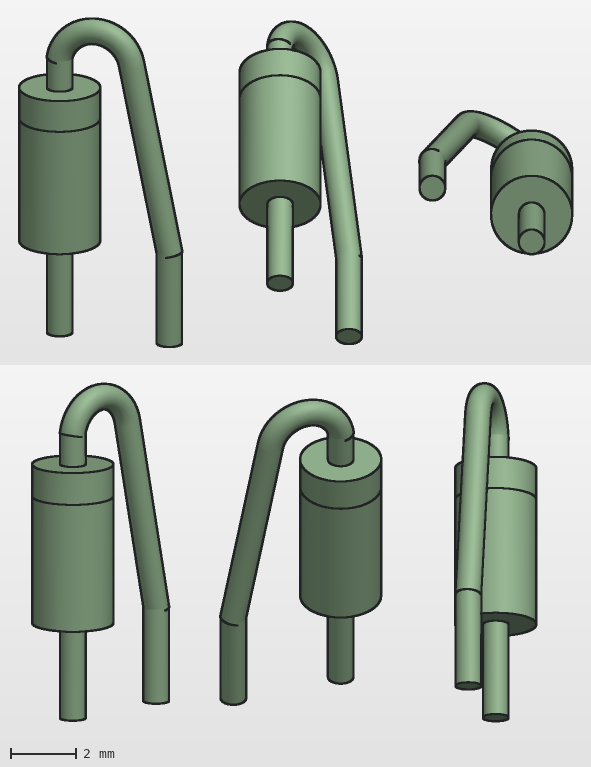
import cadquery as cq
import math

overall_height = 10.34

body_diameter = 2.5
body_length = 4.0
cap_length = 1.0

lead_diameter = 0.8
lead_pitch = 3.51
stub_height = 1.0
bend_span = 2.3
joint_overlap = 0.08

cap_top = body_length + cap_length
bend_base = cap_top + stub_height

leg_lean = math.atan2(lead_pitch - bend_span, bend_base)
bend_radius = bend_span / 2 / math.cos(leg_lean)
bend_rise = bend_radius * (1 - math.sin(leg_lean))

lead_drop = overall_height - (bend_base + bend_rise + lead_diameter / 2)

overlap_x = joint_overlap * math.sin(leg_lean)
overlap_z = joint_overlap * math.cos(leg_lean)


def make_cylinder(diameter, base, length, x=0):
    """Vertical cylinder whose axis is at x in the XZ plane and whose lower end is at height base."""
    return cq.Workplane("XY", origin=(x, 0, base)).circle(diameter / 2).extrude(length)


def make_bend_and_leg():
    """Wire that arcs over from the stub and slopes down to the outer lead."""
    bend_top = (bend_span / 2, bend_base + bend_rise)
    path = (
        cq.Workplane("XZ")
        .moveTo(-overlap_x, bend_base - overlap_z)
        .lineTo(0, bend_base)
        .threePointArc(bend_top, (bend_span, bend_base))
        .lineTo(lead_pitch + overlap_x, -overlap_z)
    )
    start_plane = cq.Plane(
        origin=(-overlap_x, 0, bend_base - overlap_z),
        xDir=(0, 1, 0),
        normal=(overlap_x, 0, overlap_z),
    )
    return cq.Workplane(start_plane).circle(lead_diameter / 2).sweep(path)


def make_bent_lead():
    """Lead that leaves the cap, arcs over and ends parallel to the body."""
    stub = make_cylinder(lead_diameter, cap_top, stub_height)
    outer_end = make_cylinder(lead_diameter, -lead_drop, lead_drop, lead_pitch)
    return make_bend_and_leg().union(stub).union(outer_end).solids()


body = make_cylinder(body_diameter, 0, body_length)
cap = make_cylinder(body_diameter, body_length, cap_length)
straight_lead = make_cylinder(lead_diameter, -lead_drop, lead_drop)
bent_lead = make_bent_lead()

result = cq.Compound.makeCompound([body.val(), cap.val(), straight_lead.val(), bent_lead.val()])